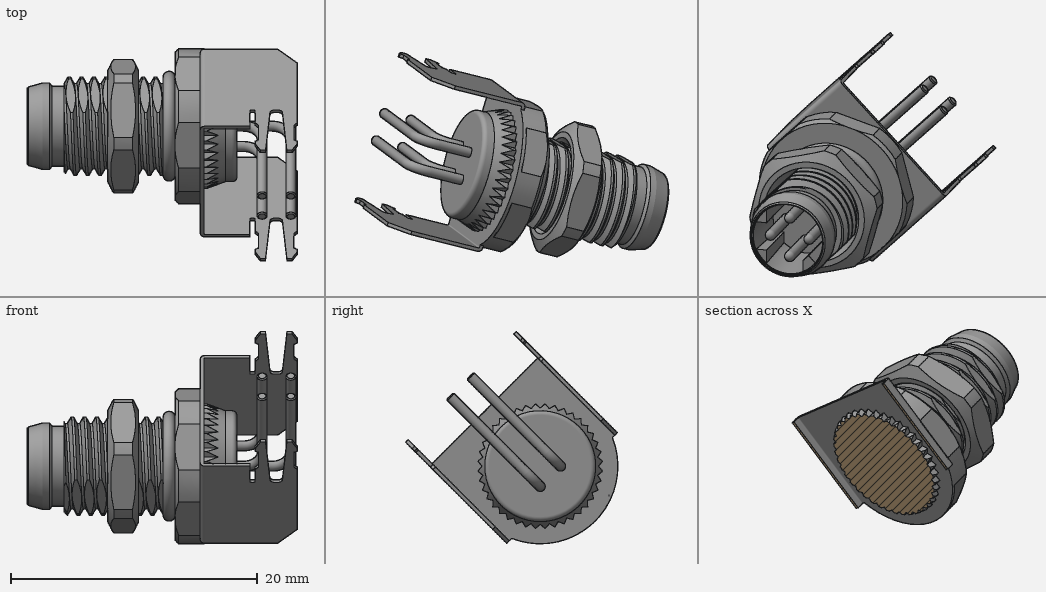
import math
import cadquery as cq

ATTITUDE_ANGLE = 45.0

NOSE_TIP_R = 3.2
NOSE_MAX_R = 3.52
NOSE_NECK_R = 3.25
NOSE_TAPER_END = 1.27
NOSE_BAND_END = 1.8
NOSE_NECK_START = 2.02
NOSE_TIP_CHAMFER = 0.12

BORE_FLOOR_R = 2.78
BORE_ENTRY_R = 2.95
BORE_MOUTH_R = 3.04
BORE_MOUTH_DEPTH = 0.2
BORE_DEPTH = 5.0
KEY_START = 0.3
KEY_REACH = 2.0
CORNER_KEY_SIDE = 1.85
CORNER_KEY_EDGE = 1.17
POLARISING_KEY_FACE = 2.12
POLARISING_KEY_HALF_WIDTH = 0.33

THREAD_START = 2.98
THREAD_END = 11.2
THREAD_PITCH = 1.0
THREAD_CREST_R = 4.0
THREAD_ROOT_R = 3.48
THREAD_EMBED = 0.1
THREAD_CREST_WIDTH = 0.2
THREAD_ROOT_WIDTH = 0.8
THREAD_PHASE = 2.28
THREAD_FLAT = 3.5
THREAD_LEAD_IN = 0.3

NUT_START = 6.52
NUT_END = 9.04
NUT_ACROSS_FLATS = 10.0
NUT_CORNER_R = 5.5
NUT_FACE_R = 4.5
NUT_CHAMFER = 0.5
NUT_COUNTERSINK_R = 4.02

FLANGE_START = 12.0
FLANGE_ACROSS_FLATS = 12.0
FLANGE_CORNER_R = 6.3
FLANGE_CHAMFER = 0.28

SEAL_TUBE_R = 0.5
SEAL_MAJOR_R = 3.96
SEAL_OVERLAP = 0.01

PART_LENGTH = 21.9
SHEET = 0.3
WEB_START = 14.03
BRACKET_HALF_WIDTH = 6.35
BRACKET_BOTTOM = -2.5
BRACKET_TOP = 6.35
BEND_OUTER_R = 0.4
BEND_INNER_R = BEND_OUTER_R - SHEET
BRACKET_CORNER_CHAMFER = 1.6
RELIEF_START = 18.05
RELIEF_FLOOR = 4.5
RELIEF_FILLET = 0.12

LEG_TIP = 9.095
LEG_OUTER_EDGE = 18.48
LEG_WAIST_EDGE = 18.75
LEG_SHOULDER = 5.95
LEG_WAIST_START = 6.25
BARB_UNDERSIDE = 7.9
BARB_LOWER = 8.07
BARB_UPPER = 8.35
LEG_TIP_OUTER = 18.9
LEG_TIP_INNER = 19.32
LEG_GAP_SIDE = 19.7
LEG_GAP_FILLET = 0.35

WEB_END = WEB_START + SHEET
REAR_CONE_R = 5.15
REAR_R = 4.5
REAR_CONE_END = 16.07
REAR_END = 17.0
REAR_FILLET = 0.36
TOOTH_COUNT = 40
TOOTH_CREST_R = 5.07
TOOTH_ROOT_R = 4.72

CONTACT_OFFSET = 1.163
CONTACT_R = 0.43
CONTACT_TIP = 0.3
WIRE_R = 0.41
WIRE_BEND_R = 1.53
WIRE_TOP = 9.2
WIRE_TIP_CHAMFER = 0.1
FIRST_ROW_X = 19.05
ROW_PITCH = 2 * CONTACT_OFFSET
WIRE_EMBED = 1.0


def disc(start, end, radius):
    """Cylinder around the X axis."""
    return cq.Workplane("YZ", origin=(start, 0, 0)).circle(radius).extrude(end - start)


def revolved(points):
    """Solid of revolution around X from (x, radius) points."""
    return cq.Workplane("XY").polyline(points).close().revolve(360, (0, 0, 0), (1, 0, 0))


def hexagon(start, end, across_flats, turn):
    """Hexagonal prism around the X axis, turned by an angle about it."""
    corner_diameter = across_flats / math.cos(math.radians(30))
    prism = cq.Workplane("YZ", origin=(start, 0, 0)).polygon(6, corner_diameter).extrude(end - start)
    return prism.rotate((0, 0, 0), (1, 0, 0), turn)


def make_core():
    """Nose and plain shank, solid, up to the bracket web."""
    return revolved([
        (0, 0),
        (0, NOSE_TIP_R - NOSE_TIP_CHAMFER),
        (NOSE_TIP_CHAMFER, NOSE_TIP_R),
        (NOSE_TAPER_END, NOSE_MAX_R),
        (NOSE_BAND_END, NOSE_MAX_R),
        (NOSE_NECK_START, NOSE_NECK_R),
        (THREAD_START, NOSE_NECK_R),
        (THREAD_START, THREAD_ROOT_R),
        (WEB_START, THREAD_ROOT_R),
        (WEB_START, 0),
    ])


def make_thread():
    """Right-hand thread ridge, trimmed to its length and flattened on two sides."""
    base_r = THREAD_ROOT_R - THREAD_EMBED
    widening = (THREAD_ROOT_WIDTH - THREAD_CREST_WIDTH) / (THREAD_CREST_R - THREAD_ROOT_R)
    base_width = THREAD_ROOT_WIDTH + widening * THREAD_EMBED
    height = THREAD_END - THREAD_PHASE + THREAD_PITCH
    helix = cq.Wire.makeHelix(THREAD_PITCH, height, THREAD_ROOT_R)
    ridge = (
        cq.Workplane("XZ")
        .polyline([
            (base_r, -base_width / 2),
            (THREAD_CREST_R, -THREAD_CREST_WIDTH / 2),
            (THREAD_CREST_R, THREAD_CREST_WIDTH / 2),
            (base_r, base_width / 2),
        ])
        .close()
        .sweep(cq.Workplane(obj=helix), isFrenet=True)
    )
    ridge = ridge.rotate((0, 0, 0), (0, 1, 0), 90).translate((THREAD_PHASE, 0, 0))
    envelope = disc(THREAD_START, THREAD_END, THREAD_CREST_R + THREAD_EMBED)
    envelope = envelope.faces("<X").chamfer(THREAD_LEAD_IN + THREAD_EMBED)
    flats = cq.Workplane("XY").box(2 * PART_LENGTH, 2 * THREAD_FLAT, 2 * PART_LENGTH)
    return ridge.intersect(envelope.intersect(flats))


def make_nut():
    """Hexagon nut with flats facing up and down, chamfered corners and countersunk ends."""
    blank = hexagon(NUT_START, NUT_END, NUT_ACROSS_FLATS, 0)
    countersink = NUT_COUNTERSINK_R - THREAD_ROOT_R
    section = revolved([
        (NUT_START + countersink, 0),
        (NUT_START + countersink, THREAD_ROOT_R),
        (NUT_START, NUT_COUNTERSINK_R),
        (NUT_START, NUT_FACE_R),
        (NUT_START + NUT_CHAMFER, NUT_CORNER_R),
        (NUT_END - NUT_CHAMFER, NUT_CORNER_R),
        (NUT_END, NUT_FACE_R),
        (NUT_END, NUT_COUNTERSINK_R),
        (NUT_END - countersink, THREAD_ROOT_R),
        (NUT_END - countersink, 0),
    ])
    return blank.intersect(section)


def make_flange():
    """Round flange with six flats, two of them facing the bracket sides."""
    blank = hexagon(FLANGE_START, WEB_START, FLANGE_ACROSS_FLATS, 30)
    corners = disc(FLANGE_START, WEB_START, FLANGE_CORNER_R)
    return blank.intersect(corners.faces("<X").chamfer(FLANGE_CHAMFER))


def make_seal():
    """Round-section ring resting against the flange."""
    centre_x = FLANGE_START - SEAL_TUBE_R + SEAL_OVERLAP
    section = cq.Workplane("XY").center(centre_x, SEAL_MAJOR_R).circle(SEAL_TUBE_R)
    return section.revolve(360, (-centre_x, -SEAL_MAJOR_R, 0), (1 - centre_x, -SEAL_MAJOR_R, 0))


def make_rear():
    """Conical rear body whose wide end is cut into sharp teeth."""
    body = revolved([
        (WEB_START, 0),
        (WEB_START, REAR_CONE_R),
        (WEB_END, REAR_CONE_R),
        (REAR_CONE_END, REAR_R),
        (REAR_END, REAR_R),
        (REAR_END, 0),
    ])
    body = body.faces(">X").edges().fillet(REAR_FILLET)
    half_pitch = math.pi / TOOTH_COUNT
    star = []
    for i in range(2 * TOOTH_COUNT):
        radius = TOOTH_CREST_R if i % 2 else TOOTH_ROOT_R
        angle = i * half_pitch + math.radians(ATTITUDE_ANGLE)
        star.append((radius * math.cos(angle), radius * math.sin(angle)))
    teeth = cq.Workplane("YZ", origin=(WEB_START, 0, 0)).polyline(star).close()
    return body.intersect(teeth.extrude(REAR_END - WEB_START))


def leg_outline():
    """(x, z) points of the first leg, from the relief slot to the leg gap."""
    return [
        (LEG_OUTER_EDGE, RELIEF_FLOOR),
        (LEG_OUTER_EDGE, LEG_SHOULDER),
        (LEG_WAIST_EDGE, LEG_WAIST_START),
        (LEG_WAIST_EDGE, BARB_UNDERSIDE),
        (LEG_OUTER_EDGE, BARB_LOWER),
        (LEG_OUTER_EDGE, BARB_UPPER),
        (LEG_TIP_OUTER, LEG_TIP),
        (LEG_TIP_INNER, LEG_TIP),
        (LEG_GAP_SIDE, RELIEF_FLOOR),
    ]


def make_bracket():
    """U-shaped sheet: a web with a round foot across the axis and two sides with snap legs."""
    first_leg = leg_outline()
    mirror_sum = LEG_OUTER_EDGE + PART_LENGTH
    second_leg = [(mirror_sum - x, z) for x, z in reversed(first_leg)][:-1]
    outline = [
        (WEB_START, BRACKET_BOTTOM),
        (WEB_START, BRACKET_TOP),
        (RELIEF_START, BRACKET_TOP),
        (RELIEF_START, RELIEF_FLOOR),
        *first_leg,
        *second_leg,
        (PART_LENGTH, BRACKET_BOTTOM + BRACKET_CORNER_CHAMFER),
        (PART_LENGTH - BRACKET_CORNER_CHAMFER, BRACKET_BOTTOM),
    ]
    side_shape = (
        cq.Workplane("XZ", origin=(0, BRACKET_HALF_WIDTH, 0))
        .polyline(outline)
        .close()
        .extrude(2 * BRACKET_HALF_WIDTH)
    )

    def floor_edges(start, end):
        selector = cq.selectors.BoxSelector(
            (start - SHEET, -BRACKET_HALF_WIDTH, RELIEF_FLOOR - SHEET / 2),
            (end + SHEET, BRACKET_HALF_WIDTH, RELIEF_FLOOR + SHEET / 2),
        )
        return side_shape.edges("|Y").edges(selector)

    side_shape = floor_edges(RELIEF_START, LEG_OUTER_EDGE).fillet(RELIEF_FILLET)
    side_shape = floor_edges(LEG_GAP_SIDE, mirror_sum - LEG_GAP_SIDE).fillet(LEG_GAP_FILLET)

    length = PART_LENGTH - WEB_START
    outer = (
        cq.Workplane("XY", origin=(WEB_START + length / 2, 0, BRACKET_BOTTOM))
        .rect(length, 2 * BRACKET_HALF_WIDTH)
        .extrude(LEG_TIP - BRACKET_BOTTOM)
        .edges("|Z and <X")
        .fillet(BEND_OUTER_R)
    )
    inner = (
        cq.Workplane("XY", origin=(WEB_END + length / 2, 0, BRACKET_BOTTOM))
        .rect(length, 2 * (BRACKET_HALF_WIDTH - SHEET))
        .extrude(LEG_TIP - BRACKET_BOTTOM)
        .edges("|Z and <X")
        .fillet(BEND_INNER_R)
    )
    foot_width = 2 * (BRACKET_HALF_WIDTH - BEND_OUTER_R)
    foot_bounds = cq.Workplane("XY").box(2 * PART_LENGTH, foot_width, 2 * FLANGE_CORNER_R)
    round_foot = disc(WEB_START, WEB_END, FLANGE_CORNER_R).intersect(foot_bounds)
    return outer.cut(inner).intersect(side_shape).union(round_foot)


def make_bore():
    """Slightly tapered cavity with a stepped mouth and the three keys left standing."""
    cavity = revolved([
        (0, 0),
        (0, BORE_MOUTH_R),
        (BORE_MOUTH_DEPTH, BORE_MOUTH_R),
        (BORE_MOUTH_DEPTH, BORE_ENTRY_R),
        (BORE_DEPTH, BORE_FLOOR_R),
        (BORE_DEPTH, 0),
    ])
    key_length = BORE_DEPTH - KEY_START
    key_plane = cq.Workplane("YZ", origin=(KEY_START, 0, 0))
    for side in (1, -1):
        corner_key = key_plane.polyline([
            (CORNER_KEY_SIDE, side * CORNER_KEY_EDGE),
            (CORNER_KEY_SIDE + KEY_REACH, side * CORNER_KEY_EDGE),
            (CORNER_KEY_SIDE + KEY_REACH, side * (CORNER_KEY_EDGE + KEY_REACH)),
            (CORNER_KEY_SIDE, side * (CORNER_KEY_EDGE + KEY_REACH)),
        ]).close().extrude(key_length)
        cavity = cavity.cut(corner_key.rotate((0, 0, 0), (1, 0, 0), -ATTITUDE_ANGLE))
    polarising_key = key_plane.polyline([
        (-POLARISING_KEY_FACE, POLARISING_KEY_HALF_WIDTH),
        (-POLARISING_KEY_FACE, -POLARISING_KEY_HALF_WIDTH),
        (-POLARISING_KEY_FACE - KEY_REACH, -POLARISING_KEY_HALF_WIDTH - KEY_REACH),
        (-POLARISING_KEY_FACE - KEY_REACH, POLARISING_KEY_HALF_WIDTH),
    ]).close().extrude(key_length)
    return cavity.cut(polarising_key)


def make_contact(y, z):
    """Round-nosed contact standing in the socket."""
    contact = disc(CONTACT_TIP + CONTACT_R, BORE_DEPTH + WIRE_EMBED, CONTACT_R)
    nose = cq.Workplane("XY").sphere(CONTACT_R).translate((CONTACT_TIP + CONTACT_R, 0, 0))
    return contact.union(nose).translate((0, y, z))


def make_wire(y, z, row_x):
    """Solder pin leaving the rear face and bending up to +Z."""
    start_x = REAR_END - WIRE_EMBED
    bend_x = row_x - WIRE_BEND_R
    diagonal = WIRE_BEND_R * math.sqrt(0.5)
    path = (
        cq.Workplane("XZ", origin=(0, y, 0))
        .moveTo(start_x, z)
        .lineTo(bend_x, z)
        .threePointArc((bend_x + diagonal, z + WIRE_BEND_R - diagonal), (row_x, z + WIRE_BEND_R))
        .lineTo(row_x, WIRE_TOP)
    )
    wire = cq.Workplane("YZ", origin=(start_x, y, z)).circle(WIRE_R).sweep(path)
    return wire.faces(">Z").chamfer(WIRE_TIP_CHAMFER)


plug = make_core().union(make_thread()).union(make_nut()).cut(make_bore())
housing = make_flange().union(make_seal()).union(make_bracket()).union(make_rear())
for y in (CONTACT_OFFSET, -CONTACT_OFFSET):
    for z, row_x in ((CONTACT_OFFSET, FIRST_ROW_X), (-CONTACT_OFFSET, FIRST_ROW_X + ROW_PITCH)):
        plug = plug.union(make_contact(y, z))
        housing = housing.union(make_wire(y, z, row_x))

connector = plug.union(housing)
result = connector.rotate((0, 0, 0), (1, 0, 0), ATTITUDE_ANGLE)